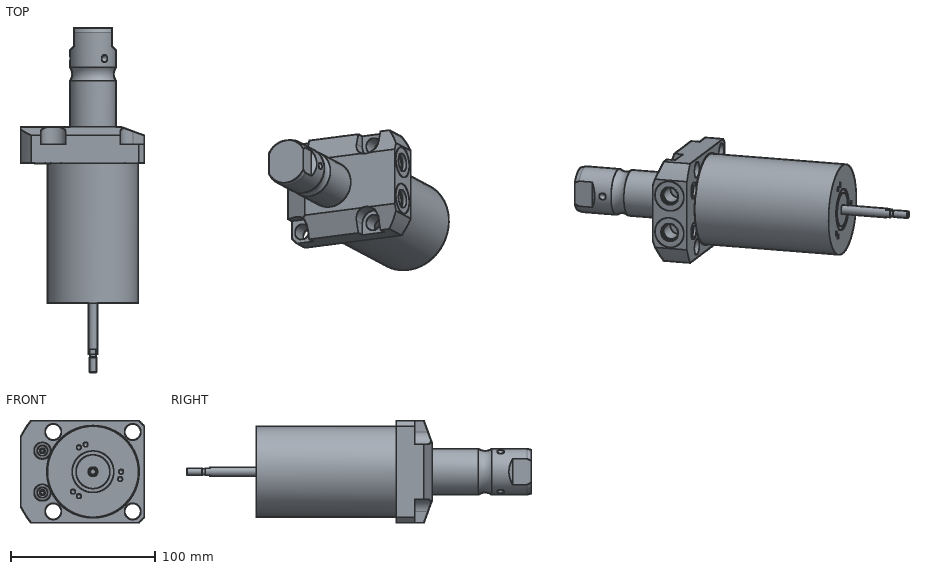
import cadquery as cq
import math

overall_length = 238.53

barrel_radius = 31.5
barrel_length = 97.0

flange_left = 50.0
flange_right = 35.5
flange_half_height = 70.87 / 2
flange_thickness = 25.0
left_corner_radius = 55.6
right_corner_radius = 47.5
back_slope_start = 19.5
back_slope_angle = 20.0
barrel_recess_radius = 32.0
barrel_recess_depth = 0.5

screw_spacing = 27.5
screw_hole_diameter = 11.0
screw_head_width = 17.0
screw_seat_y = 13.0

port_offset_z = 13.0
port_y = 12.75
port_face_diameter = 21.0
port_face_depth = 0.2
port_mouth_diameter = 12.4
port_mouth_depth = 3.0
port_bore_diameter = 10.8
port_depth = 19.0

seal_x = -35.0
seal_offset_z = 14.5
seal_seat_radius = 5.75
seal_section_radius = 1.1
seal_height = 0.6
seal_passage_radius = 1.3
seal_countersink_radius = 1.9

nose_radius = 16.0
nose_end_y = 93.53
nose_lead_length = 3.0
nose_lead_angle = 15.0
neck_center_y = nose_end_y - 32.0
neck_depth = 1.5
neck_arc_radius = 8.0
nose_flat_width = 26.5
nose_flat_length = 12.75
dimple_y = nose_end_y - 21.2
dimple_radius = 2.5
dimple_angles = (-60, 60, 180)

rod_radius = 3.25
rod_end_y = -132.3
rod_flat_length = 3.3
rod_tip_radius = 2.5
rod_neck_radius = 2.2
rod_neck_length = 1.8
tip_end_y = nose_end_y - overall_length
tip_chamfer = 0.5

face_groove_outer_radius = 14.4
face_groove_inner_radius = 11.7
face_groove_depth = 1.0
face_hole_circle_radius = 19.5
face_hole_diameter = 3.2
face_hole_depth = 5.0
face_hole_angles = (0, 105, 120, 225, 240, 345)
drill_tip_angle = 118.0


def rod_along_y(radius, start_y, end_y, x=0, z=0):
    """Cylinder parallel to Y."""
    base = cq.Vector(x, start_y, z)
    return cq.Workplane(cq.Solid.makeCylinder(radius, end_y - start_y, base, cq.Vector(0, 1, 0)))


def box_between(x_range, y_range, z_range):
    """Box given by its lower and upper bounds along each axis."""
    sizes = [high - low for low, high in (x_range, y_range, z_range)]
    return cq.Workplane("XY").box(*sizes, centered=False).translate((x_range[0], y_range[0], z_range[0]))


def make_flange():
    """Plate with rounded-off corners and sloped rear edges."""
    plate = box_between(
        (-flange_left, flange_right), (0, flange_thickness), (-flange_half_height, flange_half_height)
    )
    left_limit = rod_along_y(left_corner_radius, 0, flange_thickness)
    right_limit = rod_along_y(right_corner_radius, 0, flange_thickness)
    right_half = box_between(
        (0, flange_right), (0, flange_thickness), (-flange_half_height, flange_half_height)
    )
    plate = plate.intersect(left_limit).cut(right_half.cut(right_limit))

    slope = math.tan(math.radians(back_slope_angle))
    reach = 2 * flange_half_height
    for side_angle in (0, 90, -90):
        wedge = (
            cq.Workplane("XY")
            .moveTo(back_slope_start, flange_thickness)
            .lineTo(reach, flange_thickness - slope * (reach - back_slope_start))
            .lineTo(reach, flange_thickness)
            .close()
            .extrude(reach, both=True)
            .rotate((0, 0, 0), (0, 1, 0), side_angle)
        )
        plate = plate.cut(wedge)
    return plate


def make_screw_cuts():
    """Four through holes; the head seats run out through the top, bottom and right sides."""
    seat_radius = screw_head_width / 2
    cuts = cq.Workplane("XY")
    for side in (-1, 1):
        z = side * screw_spacing
        outside_z = side * 2 * flange_half_height
        seat_y = (screw_seat_y, flange_thickness)
        for x in (-screw_spacing, screw_spacing):
            cuts = cuts.add(rod_along_y(screw_hole_diameter / 2, 0, flange_thickness, x, z))
            cuts = cuts.add(rod_along_y(seat_radius, *seat_y, x, z))
            run_out = (x - seat_radius, x + seat_radius)
            cuts = cuts.add(box_between(run_out, seat_y, sorted((z, outside_z))))
        right_range = (screw_spacing, 2 * flange_right)
        inner_z = z - side * seat_radius
        cuts = cuts.add(box_between(right_range, seat_y, sorted((inner_z, outside_z))))
    return cuts.combine()


def make_nose():
    """Turned nose with a tapered end, an arc-shaped neck, two flats and three dimples."""
    lead_drop = nose_lead_length * math.tan(math.radians(nose_lead_angle))
    neck_half_length = math.sqrt(neck_arc_radius**2 - (neck_arc_radius - neck_depth) ** 2)
    nose = (
        cq.Workplane("XY")
        .moveTo(0, 0)
        .lineTo(nose_radius, 0)
        .lineTo(nose_radius, neck_center_y - neck_half_length)
        .threePointArc(
            (nose_radius - neck_depth, neck_center_y), (nose_radius, neck_center_y + neck_half_length)
        )
        .lineTo(nose_radius, nose_end_y - nose_lead_length)
        .lineTo(nose_radius - lead_drop, nose_end_y)
        .lineTo(0, nose_end_y)
        .close()
        .revolve(360, (0, 0, 0), (0, 1, 0))
    )

    flat_x = nose_flat_width / 2
    flat_start = nose_end_y - nose_flat_length
    ramp = nose_radius - flat_x
    flat_cut = (
        cq.Workplane("XY")
        .moveTo(flat_x, nose_end_y)
        .lineTo(flat_x, flat_start)
        .lineTo(flat_x + ramp, flat_start - ramp)
        .lineTo(flat_x + ramp, nose_end_y)
        .close()
        .extrude(nose_radius, both=True)
    )
    nose = nose.cut(flat_cut).cut(flat_cut.mirror("YZ"))

    for angle in dimple_angles:
        outward = cq.Vector(math.cos(math.radians(angle)), 0, math.sin(math.radians(angle)))
        tip = outward * (nose_radius - dimple_radius) + cq.Vector(0, dimple_y, 0)
        cone_size = 2 * dimple_radius
        dimple = cq.Solid.makeCone(0, cone_size, cone_size, tip, outward)
        nose = nose.cut(cq.Workplane(dimple))
    return nose


def make_rod():
    """Rod with two wrench flats, a relief and a chamfered tip."""
    relief_end_y = rod_end_y - rod_neck_length
    rod = (
        cq.Workplane("XY")
        .moveTo(0, 0)
        .lineTo(rod_radius, 0)
        .lineTo(rod_radius, rod_end_y)
        .lineTo(rod_neck_radius, rod_end_y)
        .lineTo(rod_neck_radius, relief_end_y)
        .lineTo(rod_tip_radius, relief_end_y - tip_chamfer)
        .lineTo(rod_tip_radius, tip_end_y + tip_chamfer)
        .lineTo(rod_tip_radius - tip_chamfer, tip_end_y)
        .lineTo(0, tip_end_y)
        .close()
        .revolve(360, (0, 0, 0), (0, 1, 0))
    )
    flat_y = (rod_end_y, rod_end_y + rod_flat_length)
    flat_x = (-rod_radius, rod_radius)
    rod = rod.cut(box_between(flat_x, flat_y, (rod_tip_radius, rod_radius)))
    return rod.cut(box_between(flat_x, flat_y, (-rod_radius, -rod_tip_radius)))


def make_face_cuts():
    """Ring groove and pairs of drilled holes in the barrel's end face."""
    groove_end = -barrel_length + face_groove_depth
    groove = rod_along_y(face_groove_outer_radius, -barrel_length, groove_end)
    groove = groove.cut(rod_along_y(face_groove_inner_radius, -barrel_length, groove_end))
    cuts = cq.Workplane("XY").add(groove)
    hole_radius = face_hole_diameter / 2
    tip_length = hole_radius / math.tan(math.radians(drill_tip_angle / 2))
    hole_end = -barrel_length + face_hole_depth
    for angle in face_hole_angles:
        x = face_hole_circle_radius * math.cos(math.radians(angle))
        z = face_hole_circle_radius * math.sin(math.radians(angle))
        tip = cq.Solid.makeCone(hole_radius, 0, tip_length, cq.Vector(x, hole_end, z), cq.Vector(0, 1, 0))
        cuts = cuts.add(rod_along_y(hole_radius, -barrel_length, hole_end, x, z)).add(tip)
    return cuts.combine()


def make_port_cut(side):
    """Stepped port bored from the left side of the flange."""
    mouth_radius = port_mouth_diameter / 2
    bore_radius = port_bore_diameter / 2
    cone_depth = port_mouth_depth + mouth_radius - bore_radius
    return (
        cq.Workplane("XY")
        .moveTo(0, 0)
        .lineTo(0, port_face_diameter / 2)
        .lineTo(port_face_depth, port_face_diameter / 2)
        .lineTo(port_face_depth, mouth_radius)
        .lineTo(port_mouth_depth, mouth_radius)
        .lineTo(cone_depth, bore_radius)
        .lineTo(port_depth, bore_radius)
        .lineTo(port_depth, 0)
        .close()
        .revolve(360, (0, 0, 0), (1, 0, 0))
        .translate((-flange_left, port_y, side * port_offset_z))
    )


def make_seal_cut(side):
    """Seal seat with a countersunk passage that leads into the port behind it."""
    seat_depth = 2 * seal_section_radius - seal_height
    z = side * seal_offset_z
    seat = rod_along_y(seal_seat_radius, 0, seat_depth, seal_x, z)
    countersink = cq.Solid.makeCone(
        seal_countersink_radius,
        seal_passage_radius,
        seal_countersink_radius - seal_passage_radius,
        cq.Vector(seal_x, seat_depth, z),
        cq.Vector(0, 1, 0),
    )
    passage = rod_along_y(seal_passage_radius, 0, port_y, seal_x, z)
    return seat.union(passage).union(cq.Workplane(countersink))


def make_seal_ring(side):
    """Round-section ring that stands slightly proud of the flange."""
    center_radius = seal_seat_radius - seal_section_radius
    floor_y = 2 * seal_section_radius - seal_height
    middle_y = floor_y - seal_section_radius
    return (
        cq.Workplane("XY")
        .moveTo(center_radius, floor_y)
        .threePointArc((seal_seat_radius, middle_y), (center_radius, -seal_height))
        .threePointArc((center_radius - seal_section_radius, middle_y), (center_radius, floor_y))
        .close()
        .revolve(360, (0, 0, 0), (0, 1, 0), clean=False)
        .translate((seal_x, 0, side * seal_offset_z))
    )


def make_housing():
    """Flange, barrel, nose and rod in one piece."""
    recess = rod_along_y(barrel_recess_radius, 0, barrel_recess_depth)
    flange = make_flange().cut(make_screw_cuts()).cut(recess)
    for side in (-1, 1):
        flange = flange.cut(make_port_cut(side)).cut(make_seal_cut(side))
    barrel = rod_along_y(barrel_radius, -barrel_length, barrel_recess_depth).cut(make_face_cuts())
    return flange.union(barrel).union(make_nose()).union(make_rod())


housing = make_housing()
seal_rings = [make_seal_ring(side).val() for side in (-1, 1)]
result = cq.Compound.makeCompound([housing.val(), *seal_rings])